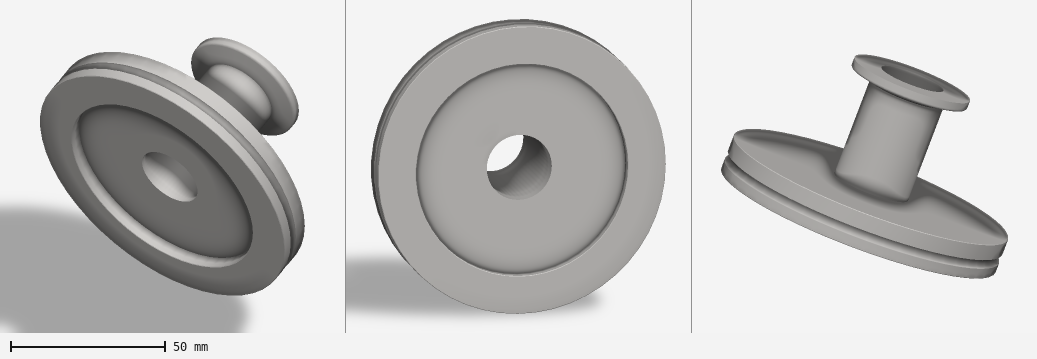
import cadquery as cq
import math

overall_length = 50.0

disc_diameter = 95.0
disc_thickness = 12.0
disc_edge_chamfer = 0.2
recess_diameter = 70.0
recess_depth = 4.5
groove_width = 3.0
groove_center_y = 5.0

tube_outer_diameter = 25.5
bore_diameter = 21.5

flange_diameter = 40.0
flange_thickness = 4.9
flange_cone_angle = 15.0
flange_rim_fillet = 0.8

disc_radius = disc_diameter / 2
tube_radius = tube_outer_diameter / 2
bore_radius = bore_diameter / 2
flange_radius = flange_diameter / 2
flange_cone_start_y = overall_length - flange_thickness


def cylinder(radius, start_y, end_y):
    """Solid cylinder on the Y axis between two Y positions."""
    plane = cq.Workplane("XZ", origin=(0, start_y, 0))
    return plane.circle(radius).extrude(start_y - end_y)


def turned(profile):
    """Revolve a closed (radius, Y) profile about the Y axis."""
    return profile.revolve(360, (0, 0, 0), (0, 1, 0))


def make_disc():
    """Large disc with a chamfered front recess, a tube hole and a round groove in its rim."""
    body = cylinder(disc_radius, 0, disc_thickness).edges().chamfer(disc_edge_chamfer)
    recess = cylinder(recess_diameter / 2, 0, recess_depth)
    tube_hole = cylinder(tube_radius, recess_depth, disc_thickness)
    groove_profile = cq.Workplane("XY").center(disc_radius, groove_center_y).circle(groove_width / 2)
    groove = groove_profile.revolve(360, (-disc_radius, 0, 0), (-disc_radius, 1, 0))
    body = body.cut(recess)
    recess_mouth = cq.selectors.RadiusNthSelector(0)
    body = body.faces("<Y").edges(recess_mouth).chamfer(disc_edge_chamfer)
    return body.cut(tube_hole).cut(groove)


def make_tube():
    """Tube from the recess floor to the narrow end of the flange cone."""
    outside = cylinder(tube_radius, recess_depth, flange_cone_start_y)
    bore = cylinder(bore_radius, recess_depth, flange_cone_start_y)
    return outside.cut(bore)


def make_flange():
    """Clamp flange with a conical front, a rounded rim and a through bore."""
    cone_height = (flange_radius - tube_radius) * math.tan(math.radians(flange_cone_angle))
    rim_start_y = flange_cone_start_y + cone_height
    profile = (
        cq.Workplane("XY")
        .moveTo(0, flange_cone_start_y)
        .lineTo(tube_radius, flange_cone_start_y)
        .lineTo(flange_radius, rim_start_y)
        .lineTo(flange_radius, overall_length)
        .lineTo(0, overall_length)
        .close()
    )
    body = turned(profile)
    rim_edge = cq.selectors.RadiusNthSelector(-1)
    body = body.edges("%CIRCLE").edges(rim_edge).edges("<Y").fillet(flange_rim_fillet)
    return body.cut(cylinder(bore_radius, flange_cone_start_y, overall_length))


disc = make_disc()
tube = make_tube()
flange = make_flange()

result = cq.Compound.makeCompound([disc.val(), tube.val(), flange.val()])